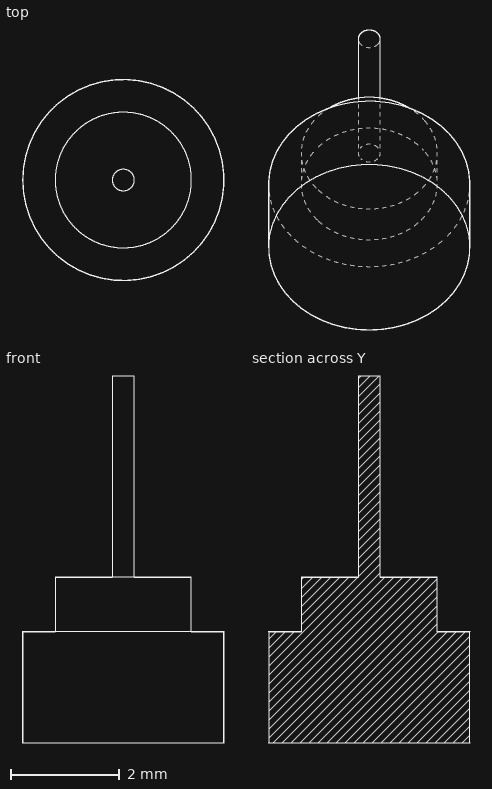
import cadquery as cq

base_diameter = 3.7
base_height = 2.05
collar_diameter = 2.5
collar_height = 1.0
insert_diameter = 1.95
pin_diameter = 0.4
pin_length = 3.7

base_top = base_height
collar_top = base_top + collar_height
pin_top = collar_top + pin_length


def make_feedthrough():
    """Revolve the stepped half section, drawn on the -X side, about the Z axis.

    The insert lies flush with the collar rim, so its edge is an extra profile
    point that divides the collar's top into a rim face and an insert face.
    """
    half_section = (
        cq.Workplane("XZ")
        .moveTo(0, 0)
        .lineTo(-base_diameter / 2, 0)
        .lineTo(-base_diameter / 2, base_top)
        .lineTo(-collar_diameter / 2, base_top)
        .lineTo(-collar_diameter / 2, collar_top)
        .lineTo(-insert_diameter / 2, collar_top)
        .lineTo(-pin_diameter / 2, collar_top)
        .lineTo(-pin_diameter / 2, pin_top)
        .lineTo(0, pin_top)
        .close()
    )
    return half_section.revolve(360, (0, 0), (0, 1), clean=False)


result = make_feedthrough()